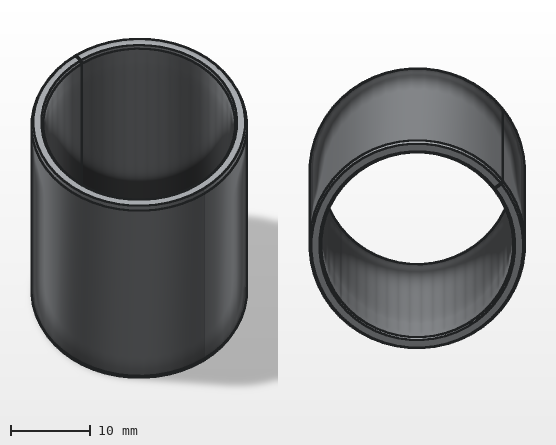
import cadquery as cq

length = 35.0
outer_diameter = 27.0
inner_diameter = 24.0
outer_chamfer_height = 0.7
outer_chamfer_depth = 0.25
inner_chamfer_height = 0.42
inner_chamfer_depth = 0.25
split_width = 0.15

outer_radius = outer_diameter / 2
inner_radius = inner_diameter / 2
half_length = length / 2


def sleeve():
    """Revolve the wall section, with both ends chamfered inside and outside."""
    outer_end_radius = outer_radius - outer_chamfer_depth
    inner_end_radius = inner_radius + inner_chamfer_depth
    outer_shoulder = half_length - outer_chamfer_height
    inner_shoulder = half_length - inner_chamfer_height
    section = [
        (inner_radius, -inner_shoulder),
        (inner_end_radius, -half_length),
        (outer_end_radius, -half_length),
        (outer_radius, -outer_shoulder),
        (outer_radius, outer_shoulder),
        (outer_end_radius, half_length),
        (inner_end_radius, half_length),
        (inner_radius, inner_shoulder),
    ]
    return cq.Workplane("XZ").polyline(section).close().revolve(360, (0, 0), (0, 1))


def split():
    """Thin slab with one face on Y = 0 that opens the -X wall from end to end."""
    slab = cq.Workplane("XY").box(outer_radius, split_width, length)
    return slab.translate((-outer_radius, split_width / 2, 0))


result = sleeve().cut(split())